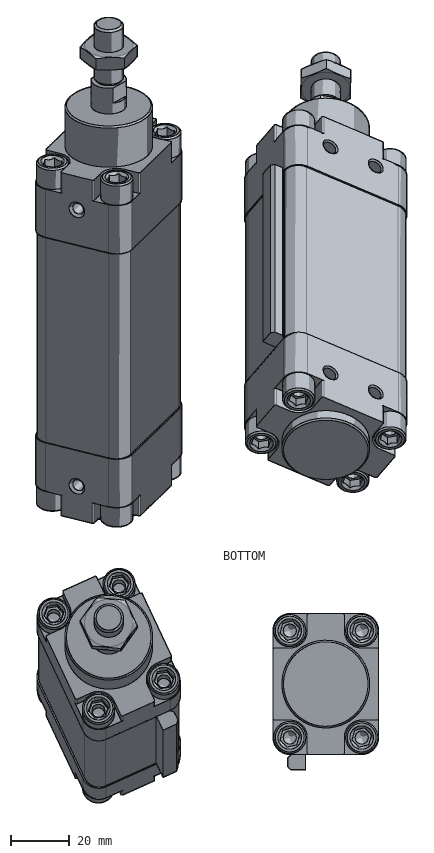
import cadquery as cq
import math

TOTAL_LENGTH = 186.0
WIDTH_X = 36.0
DEPTH_Y = 48.2
CAP_LENGTH = 27.0
REAR_CAP_BOTTOM = 4.0
FRONT_CAP_TOP = 138.2
REAR_CAP_TOP = REAR_CAP_BOTTOM + CAP_LENGTH
FRONT_CAP_BOTTOM = FRONT_CAP_TOP - CAP_LENGTH
BARREL_LENGTH = FRONT_CAP_BOTTOM - REAR_CAP_TOP

CORNER_RADIUS = 6.0
BARREL_STEP_X = 0.5
BARREL_STEP_Y = 0.4
BARREL_CORNER_RADIUS = 5.4
COLLAR_DIAMETER = 30.0
COLLAR_TOP = 154.0
COLLAR_CHAMFER = 0.5

SCREW_X = 12.3
SCREW_Y = 18.2
POCKET_DEPTH = 8.0
POCKET_RADIUS = 6.0
POCKET_EDGE_FILLET = 0.5
POCKET_OVERRUN = 1.9
HEAD_DIAMETER = 11.0
HEAD_CHAMFER = 0.5
SOCKET_RIM_DIAMETER = 8.0
SOCKET_ACROSS_FLATS = 6.0
SCREW_TURN = 45.0
SOCKET_DEPTH = 4.0
SCREW_HOLE_DIAMETER = 4.5
SCREW_HOLE_DEPTH = 10.0

HOLE_FROM_CAP_END = 13.0
HOLE_RIM_DIAMETER = 6.0
PORT_DIAMETER = 4.0
PORT_DEPTH = 6.0
MOUNT_DIAMETER = 4.8
MOUNT_DEPTH = 6.0
MOUNT_PITCH = 18.0
DRILL_POINT_ANGLE = 118.0

RAIL_LEFT = -13.0
RAIL_RIGHT = -6.9
RAIL_HEIGHT = 5.2
RAIL_CHAMFER = 1.1

ROD_DIAMETER = 12.0
ROD_SHOULDER = 164.0
THREAD_DIAMETER = 10.0
THREAD_CHAMFER = 0.7
UNDERCUT_DIAMETER = 8.5
UNDERCUT_LENGTH = 1.0
FLAT_LENGTH = 6.0
FLAT_ACROSS = 10.0
FLAT_TURN = -15.0

NUT_BOTTOM = 172.5
NUT_THICKNESS = 5.0
NUT_ACROSS_FLATS = 17.0
NUT_FACE_DIAMETER = 16.5
NUT_CHAMFER_ANGLE = 15.0


def across_corners(across_flats):
    return across_flats / math.cos(math.radians(30))


def cylinder(diameter, bottom, top):
    return cq.Workplane("XY").workplane(offset=bottom).circle(diameter / 2).extrude(top - bottom)


def rounded_block(size_x, size_y, bottom, height, radius):
    block = cq.Workplane("XY").workplane(offset=bottom).rect(size_x, size_y).extrude(height)
    return block.edges("|Z").fillet(radius)


def drilled_hole(diameter, depth, pointed):
    """Cutter along +Z from the origin, with an optional drill point."""
    hole = cylinder(diameter, 0, depth)
    if pointed:
        radius = diameter / 2
        point_length = radius / math.tan(math.radians(DRILL_POINT_ANGLE / 2))
        hole = hole.union(cq.Workplane(cq.Solid.makeCone(radius, 0, point_length)).translate((0, 0, depth)))
    return hole


def rim_chamfer(rim_diameter, diameter):
    """Cutter for a 45 degree rim, narrowing along +Z from the origin."""
    rim = rim_diameter / 2
    radius = diameter / 2
    return cq.Workplane(cq.Solid.makeCone(rim, radius, rim - radius))


def pocket_cutter():
    """Square corner pocket over the +X +Y screw, opening upwards from Z = -POCKET_DEPTH."""
    inner_x = SCREW_X - POCKET_RADIUS
    inner_y = SCREW_Y - POCKET_RADIUS
    outer_x = WIDTH_X / 2
    outer_y = DEPTH_Y / 2
    fillet = POCKET_EDGE_FILLET
    return (
        cq.Workplane("XY")
        .workplane(offset=-POCKET_DEPTH)
        .moveTo(SCREW_X, inner_y)
        .lineTo(outer_x - fillet, inner_y)
        .radiusArc((outer_x, inner_y - fillet), fillet)
        .lineTo(outer_x + POCKET_OVERRUN, inner_y - fillet)
        .lineTo(outer_x + POCKET_OVERRUN, outer_y + POCKET_OVERRUN)
        .lineTo(inner_x - fillet, outer_y + POCKET_OVERRUN)
        .lineTo(inner_x - fillet, outer_y)
        .radiusArc((inner_x, outer_y - fillet), fillet)
        .lineTo(inner_x, SCREW_Y)
        .radiusArc((SCREW_X, inner_y), -POCKET_RADIUS)
        .close()
        .extrude(POCKET_DEPTH)
    )


def screw_head():
    """Socket head with its top at Z = 0, standing on the pocket floor."""
    head = cylinder(HEAD_DIAMETER, -POCKET_DEPTH, 0).faces(">Z").chamfer(HEAD_CHAMFER)
    socket = (
        cq.Workplane("XY")
        .polygon(6, across_corners(SOCKET_ACROSS_FLATS))
        .extrude(SOCKET_DEPTH)
        .union(rim_chamfer(SOCKET_RIM_DIAMETER, SOCKET_ACROSS_FLATS))
        .union(drilled_hole(SCREW_HOLE_DIAMETER, SCREW_HOLE_DEPTH, True))
    )
    return (
        head.rotate((0, 0, 0), (0, 0, 1), SCREW_TURN),
        socket.mirror("XY").rotate((0, 0, 0), (0, 0, 1), SCREW_TURN),
    )


def end_cap():
    """Cap with its outer end at Z = 0 and its body below."""
    cap = rounded_block(WIDTH_X, DEPTH_Y, -CAP_LENGTH, CAP_LENGTH, CORNER_RADIUS)
    pocket = pocket_cutter()
    for corner in (pocket, pocket.mirror("YZ"), pocket.mirror("XZ"), pocket.mirror("YZ").mirror("XZ")):
        cap = cap.cut(corner)

    head, socket = screw_head()
    for x in (-SCREW_X, SCREW_X):
        for y in (-SCREW_Y, SCREW_Y):
            cap = cap.union(head.translate((x, y, 0))).cut(socket.translate((x, y, 0)))

    port = drilled_hole(PORT_DIAMETER, PORT_DEPTH, False)
    port = port.union(rim_chamfer(HOLE_RIM_DIAMETER, PORT_DIAMETER))
    port = port.rotate((0, 0, 0), (1, 0, 0), -90)
    cap = cap.cut(port.translate((0, -DEPTH_Y / 2, -HOLE_FROM_CAP_END)))

    mount = drilled_hole(MOUNT_DIAMETER, MOUNT_DEPTH, True)
    mount = mount.union(rim_chamfer(HOLE_RIM_DIAMETER, MOUNT_DIAMETER))
    mount = mount.rotate((0, 0, 0), (0, 1, 0), 90)
    for y in (-MOUNT_PITCH / 2, MOUNT_PITCH / 2):
        cap = cap.cut(mount.translate((-WIDTH_X / 2, y, -HOLE_FROM_CAP_END)))
    return cap


def sensor_rail():
    base = DEPTH_Y / 2
    root = base - 4 * BARREL_STEP_Y
    top = base + RAIL_HEIGHT
    inset = RAIL_LEFT + RAIL_CHAMFER
    outline = [
        (inset, root),
        (inset, base),
        (RAIL_LEFT, base + RAIL_CHAMFER),
        (RAIL_LEFT, top - RAIL_CHAMFER),
        (inset, top),
        (RAIL_RIGHT, top),
        (RAIL_RIGHT, root),
    ]
    return cq.Workplane("XY").workplane(offset=REAR_CAP_TOP).polyline(outline).close().extrude(BARREL_LENGTH)


def make_housing():
    barrel = rounded_block(
        WIDTH_X - 2 * BARREL_STEP_X,
        DEPTH_Y - 2 * BARREL_STEP_Y,
        REAR_CAP_TOP,
        BARREL_LENGTH,
        BARREL_CORNER_RADIUS,
    )
    front_cap = end_cap().translate((0, 0, FRONT_CAP_TOP))
    rear_cap = end_cap().mirror("XY").translate((0, 0, REAR_CAP_BOTTOM))
    collar = cylinder(COLLAR_DIAMETER, FRONT_CAP_TOP, COLLAR_TOP).faces(">Z").chamfer(COLLAR_CHAMFER)
    boss = cylinder(COLLAR_DIAMETER, 0, REAR_CAP_BOTTOM).faces("<Z").chamfer(COLLAR_CHAMFER)
    return barrel.union(sensor_rail()).union(front_cap).union(rear_cap).union(collar).union(boss)


def make_rod():
    """Rod resting on the collar, with two wrench flats and a threaded end."""
    shank = cylinder(ROD_DIAMETER, COLLAR_TOP, ROD_SHOULDER)
    flats = (
        cq.Workplane("XY")
        .workplane(offset=ROD_SHOULDER - FLAT_LENGTH)
        .rect(2 * ROD_DIAMETER, 2 * ROD_DIAMETER)
        .rect(FLAT_ACROSS, 2 * ROD_DIAMETER)
        .extrude(FLAT_LENGTH)
        .rotate((0, 0, 0), (0, 0, 1), FLAT_TURN)
    )
    thread_start = ROD_SHOULDER + UNDERCUT_LENGTH
    undercut = cylinder(UNDERCUT_DIAMETER, ROD_SHOULDER, thread_start)
    thread = cylinder(THREAD_DIAMETER, thread_start, TOTAL_LENGTH).faces(">Z").chamfer(THREAD_CHAMFER)
    return shank.cut(flats).union(undercut).union(thread)


def make_nut():
    """Hexagon nut with chamfered corners, flats facing along X."""
    corner_radius = across_corners(NUT_ACROSS_FLATS) / 2
    face_radius = NUT_FACE_DIAMETER / 2
    drop = (corner_radius - face_radius) * math.tan(math.radians(NUT_CHAMFER_ANGLE))
    hexagon = (
        cq.Workplane("XY")
        .polygon(6, 2 * corner_radius)
        .extrude(NUT_THICKNESS)
        .rotate((0, 0, 0), (0, 0, 1), 30)
    )
    chamfered_disc = (
        cq.Workplane("XZ")
        .polyline([
            (0, 0),
            (face_radius, 0),
            (corner_radius, drop),
            (corner_radius, NUT_THICKNESS - drop),
            (face_radius, NUT_THICKNESS),
            (0, NUT_THICKNESS),
        ])
        .close()
        .revolve(360, (0, 0, 0), (0, 1, 0))
    )
    nut = hexagon.intersect(chamfered_disc).cut(cylinder(THREAD_DIAMETER, 0, NUT_THICKNESS))
    return nut.translate((0, 0, NUT_BOTTOM))


housing = make_housing()
rod = make_rod()
nut = make_nut()

result = cq.Compound.makeCompound([housing.val(), rod.val(), nut.val()])